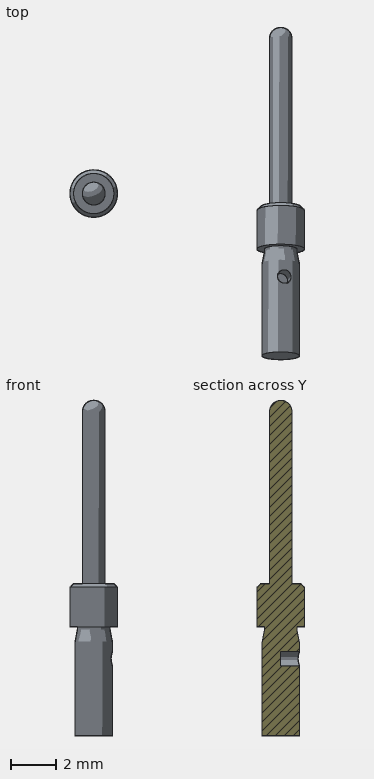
import cadquery as cq

total_length = 14.8

pin_diameter = 1.0
collar_diameter = 2.1
neck_diameter = 1.45
barrel_diameter = 1.66
side_hole_diameter = 0.6

barrel_top = 4.15
flare_top = 4.68
collar_bottom = 4.81
collar_top = 6.72
side_hole_height = 3.4

collar_chamfer = 0.16


def cylinder_between(diameter, bottom, top):
    """Solid cylinder on the Z axis between two heights."""
    return cq.Workplane("XY").workplane(offset=bottom).circle(diameter / 2).extrude(top - bottom)


barrel = cylinder_between(barrel_diameter, 0, barrel_top)
flare = (
    cq.Workplane("XY")
    .workplane(offset=barrel_top)
    .circle(barrel_diameter / 2)
    .workplane(offset=flare_top - barrel_top)
    .circle(neck_diameter / 2)
    .loft(ruled=True)
)
neck = cylinder_between(neck_diameter, flare_top, collar_bottom)

collar = cylinder_between(collar_diameter, collar_bottom, collar_top)
collar = collar.faces(">Z").edges().chamfer(collar_chamfer)

dome_radius = pin_diameter / 2
dome_base = total_length - dome_radius
pin_shaft = cylinder_between(pin_diameter, collar_top, dome_base)
pin_tip = (
    cq.Workplane("XZ")
    .moveTo(0, dome_base)
    .lineTo(dome_radius, dome_base)
    .radiusArc((0, total_length), -dome_radius)
    .close()
    .revolve(360, (0, 0), (0, 1))
)

side_hole = (
    cq.Workplane("YZ")
    .center(0, side_hole_height)
    .circle(side_hole_diameter / 2)
    .extrude(barrel_diameter)
)

result = barrel.union(flare).union(neck).union(collar).union(pin_shaft).union(pin_tip).cut(side_hole)